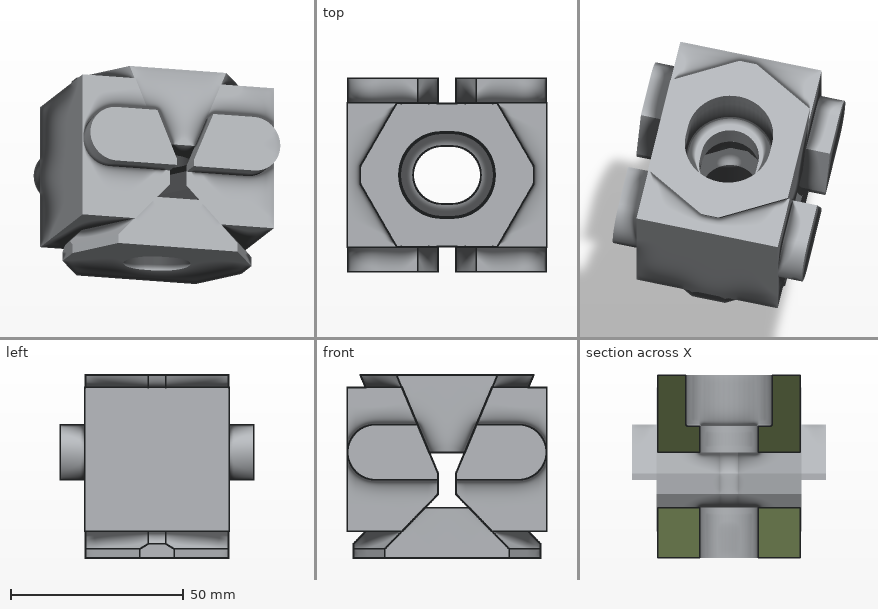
import cadquery as cq
import math

jaw_half_length = 29.0
jaw_half_depth = 21.0
jaw_height = 41.8
jaw_half_gap = 2.55

ear_half_depth = 28.1
ear_radius = 8.0
ear_end = 28.8
ear_axis_z = 23.0

vee_slope = math.tan(math.radians(30.0))
vee_flat_half = 2.55
upper_slope = math.tan(math.radians(22.7))
lower_slope = math.tan(math.radians(44.0))
seat_half_mouth = 13.0

wedge_half_depth = 20.75
upper_wedge_rise = 3.6
upper_wedge_height = 22.5
lower_wedge_drop = 7.7
lower_wedge_height = 14.6
lower_rim_height = 2.65
lower_wedge_half_length = 27.15

slot_length = 2.9
bolt_radius = 8.35
head_radius = 12.5
head_depth = 14.8
head_corner = 0.4

upper_wedge_top = jaw_height + upper_wedge_rise
upper_wedge_bottom = upper_wedge_top - upper_wedge_height
lower_wedge_bottom = -lower_wedge_drop
lower_wedge_top = lower_wedge_bottom + lower_wedge_height
rim_top = lower_wedge_bottom + lower_rim_height
seat_run = seat_half_mouth - jaw_half_gap
upper_neck_z = jaw_height - seat_run / upper_slope
lower_neck_z = seat_run / lower_slope


def upper_half_width(z):
    """Half width of the upper seat at the jaw's front face."""
    return seat_half_mouth + (z - jaw_height) * upper_slope


def lower_half_width(z):
    """Half width of the lower seat at the jaw's front face."""
    return seat_half_mouth - z * lower_slope


def plan_points(half_width, half_depth):
    """Six-sided outline with flattened tips, half_width wide at the jaw's front face."""
    front = half_width + (jaw_half_depth - half_depth) * vee_slope
    tip = half_width + (jaw_half_depth - vee_flat_half) * vee_slope
    return [
        (front, -half_depth),
        (tip, -vee_flat_half),
        (tip, vee_flat_half),
        (front, half_depth),
        (-front, half_depth),
        (-tip, vee_flat_half),
        (-tip, -vee_flat_half),
        (-front, -half_depth),
    ]


def vee_block(z_low, width_low, z_high, width_high, half_depth):
    """Solid between two of the six-sided outlines."""
    return (
        cq.Workplane("XY", origin=(0, 0, z_low))
        .polyline(plan_points(width_low, half_depth)).close()
        .workplane(offset=z_high - z_low)
        .polyline(plan_points(width_high, half_depth)).close()
        .loft(ruled=True, combine=True)
    )


def slot_hole(radius, z_low, z_high):
    """Upright slot with round ends, lengthened along X."""
    return (
        cq.Workplane("XY", origin=(0, 0, z_low))
        .slot2D(slot_length + 2 * radius, 2 * radius)
        .extrude(z_high - z_low)
    )


def make_seat():
    """Space between the jaws, within their depth."""
    upper = vee_block(
        upper_neck_z, jaw_half_gap, jaw_height, seat_half_mouth, jaw_half_depth)
    neck = vee_block(
        lower_neck_z, jaw_half_gap, upper_neck_z, jaw_half_gap, jaw_half_depth)
    lower = vee_block(
        0, seat_half_mouth, lower_neck_z, jaw_half_gap, jaw_half_depth)
    return upper.union(neck).union(lower)


def make_ears():
    """Round-ended bar through the depth of one jaw, trimmed to the seat's front outline."""
    ear_top = ear_axis_z + ear_radius
    ear_bottom = ear_axis_z - ear_radius
    arc_x = ear_end - ear_radius
    return (
        cq.Workplane("XZ", origin=(0, ear_half_depth, 0))
        .moveTo(arc_x, ear_bottom)
        .threePointArc((ear_end, ear_axis_z), (arc_x, ear_top))
        .lineTo(upper_half_width(ear_top), ear_top)
        .lineTo(jaw_half_gap, upper_neck_z)
        .lineTo(jaw_half_gap, ear_bottom)
        .close()
        .extrude(2 * ear_half_depth)
    )


def make_jaw():
    """Jaw on the +X side."""
    block = (
        cq.Workplane("XY")
        .box(jaw_half_length, 2 * jaw_half_depth, jaw_height, centered=(False, True, False))
    )
    return block.union(make_ears()).cut(make_seat())


def make_upper_wedge():
    """Wedge with the bolt hole and the recess for the bolt head."""
    body = vee_block(
        upper_wedge_bottom, upper_half_width(upper_wedge_bottom),
        upper_wedge_top, upper_half_width(upper_wedge_top), wedge_half_depth)
    head_floor = upper_wedge_top - head_depth
    head_recess = slot_hole(head_radius, head_floor, upper_wedge_top)
    head_recess = head_recess.faces("<Z").chamfer(head_corner)
    bolt_hole = slot_hole(bolt_radius, upper_wedge_bottom, head_floor)
    return body.cut(head_recess).cut(bolt_hole)


def make_lower_wedge():
    """Wedge with an upright rim, cut-off tips and the bolt hole."""
    rim_half_width = lower_half_width(rim_top)
    taper = vee_block(
        rim_top, rim_half_width,
        lower_wedge_top, lower_half_width(lower_wedge_top), wedge_half_depth)
    rim = vee_block(
        lower_wedge_bottom, rim_half_width, rim_top, rim_half_width, wedge_half_depth)
    tip_limit = (
        cq.Workplane("XY", origin=(0, 0, lower_wedge_bottom))
        .box(2 * lower_wedge_half_length, 2 * wedge_half_depth, lower_wedge_height,
             centered=(True, True, False))
    )
    bolt_hole = slot_hole(bolt_radius, lower_wedge_bottom, lower_wedge_top)
    return taper.union(rim).intersect(tip_limit).cut(bolt_hole)


right_jaw = make_jaw()
jaws = [right_jaw, right_jaw.mirror("YZ")]
upper_wedge = make_upper_wedge()
lower_wedge = make_lower_wedge()

result = cq.Compound.makeCompound(
    [*[jaw.val() for jaw in jaws], upper_wedge.val(), lower_wedge.val()])